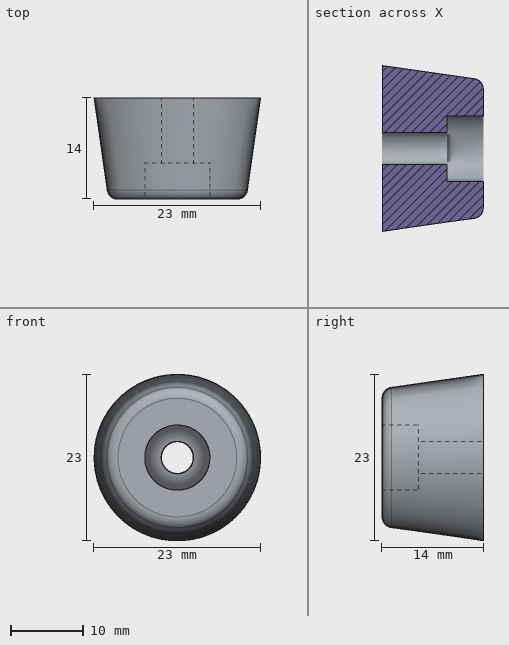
import cadquery as cq

height = 14.0
wide_diameter = 23.0
narrow_diameter = 19.0
edge_radius = 1.5
screw_hole_diameter = 4.4
counterbore_diameter = 9.0
counterbore_depth = 5.0


def tapered_body():
    """Solid cone frustum from the narrow face at Y = 0 to the wide face, narrow rim rounded."""
    half_section = (
        cq.Workplane("YZ")
        .moveTo(0, 0)
        .lineTo(0, narrow_diameter / 2)
        .lineTo(height, wide_diameter / 2)
        .lineTo(height, 0)
        .close()
    )
    body = half_section.revolve(360, (0, 0, 0), (1, 0, 0))
    return body.faces("<Y").edges().fillet(edge_radius)


def bore(diameter, depth):
    """Cylinder running from the narrow face into the body along +Y."""
    return cq.Workplane("XZ").circle(diameter / 2).extrude(-depth)


screw_hole = bore(screw_hole_diameter, height)
counterbore = bore(counterbore_diameter, counterbore_depth)
result = tapered_body().cut(screw_hole).cut(counterbore)